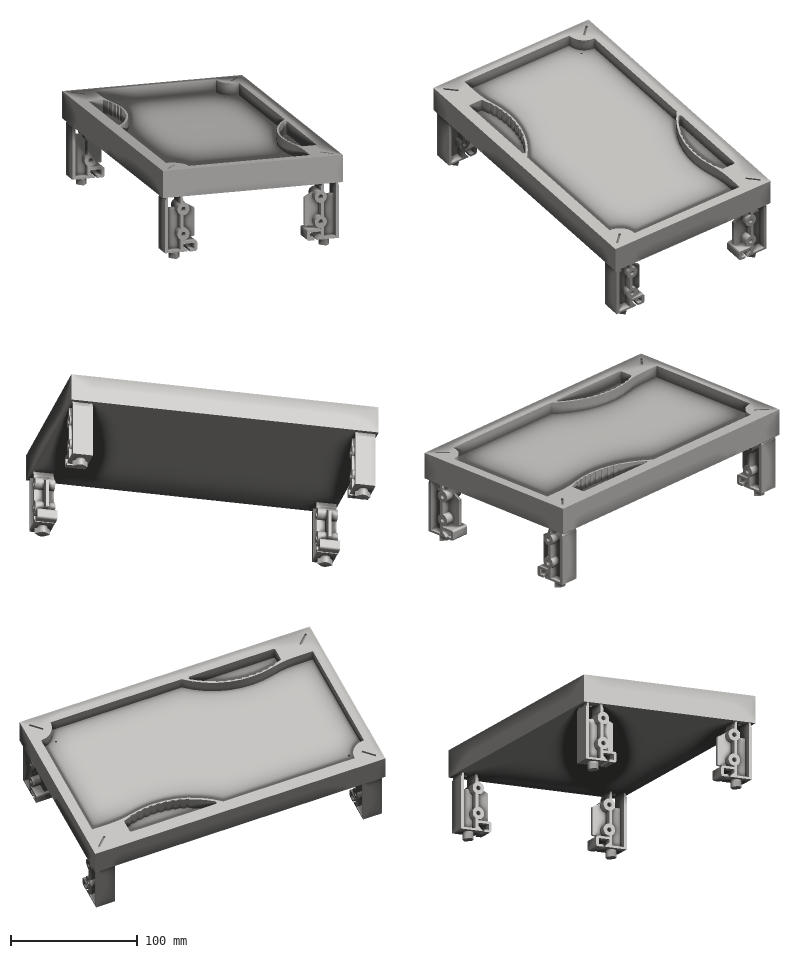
import cadquery as cq
import math

COVER_X = 250.0
COVER_Y = 150.0
COVER_Z = 22.2
TOTAL_HEIGHT = 74.2

POCKET_HALF_X = 117.0
POCKET_HALF_Y = 65.0
POCKET_DEPTH = 10.0
CORNER_CLEARANCE_RADIUS = 14.2

GRIP_CENTER_X = 62.0
GRIP_RADIUS = 77.5
GRIP_LOW_Y = 45.2
STEP_Y = 50.5

GRIP_WALL = 1.8
GRIP_END_X = 90.5
GRIP_DEPTH = 10.8
GRIP_CORNER_RADIUS = 1.5
GROOVE_COUNT = 9
GROOVE_FIRST_ANGLE = -20.4
GROOVE_PITCH_ANGLE = 4.5
GROOVE_DEPTH = 0.62

MARKER_X = 103.2
MARKER_Y = 52.8
MARKER_DIAMETER = 1.8
MARKER_DEPTH = 2.5

CORNER_INSET = 10.0
HEAD_DIAMETER = 14.0
HEAD_HEIGHT = 3.8
SHAFT_DIAMETER = 2.5
TIP_PROTRUSION = 0.8
DRIVE_LENGTH = 12.0
DRIVE_WIDTH = 1.8
DRIVE_DEPTH = 1.8
DRIVE_ANGLE = 45.0

LEG_WIDTH = 16.2
LEG_BOTTOM = -46.0
COLUMN_OUT = 2.5
COLUMN_IN = 17.8
OUTER_WALL = 2.5
INNER_WALL = 2.5
FLOOR = 1.8
NECK_SETBACK = 1.0
NECK_TAPER = 0.5
NECK_HEIGHT = 2.5
NECK_STEP_HEIGHT = 3.2

WEB_THICKNESS = 2.5
WEB_TOP = -11.0
FLANGE_IN = 29.2
FLANGE_SHOULDER = -12.5
FLANGE_BOTTOM = -35.8
FLANGE_CHAMFER = 0.8

BOSS_DIAMETER = 10.0
BOSS_HOLE_DIAMETER = 3.8
BOSS_HEIGHTS = (-11.0, -31.5)

HOOK_TOP = -37.5
HOOK_BOTTOM = -46.2
HOOK_TIP = 23.0
HOOK_WALL = 2.0
HOOK_SIDE_WALL = 2.5
HOOK_RADIUS = 1.8
TOE_IN = 21.2
TOE_RISE = 2.2

FOOT_IN = 12.5
FOOT_DIAMETER = 8.5
FOOT_BOTTOM = COVER_Z - TOTAL_HEIGHT
LUG_TOP = -47.5
LUG_REACH = 6.2

BOTH_SIDES = (-1, 1)
CORNERS = [(sx, sy) for sx in BOTH_SIDES for sy in BOTH_SIDES]
SCREW_X = COVER_X / 2 - CORNER_INSET
SCREW_Y = COVER_Y / 2 - CORNER_INSET
GRIP_CENTER_Y = GRIP_LOW_Y + GRIP_RADIUS


def grip_point(radius, angle):
    """Point on a circle about the grip centre; angle in degrees from -Y towards +X."""
    a = math.radians(angle)
    return (GRIP_CENTER_X + radius * math.sin(a), GRIP_CENTER_Y - radius * math.cos(a))


def grip_angle_at_y(radius, y):
    """Angle in degrees at which a circle about the grip centre reaches the given Y."""
    return math.degrees(math.acos((GRIP_CENTER_Y - y) / radius))


def same_place(point):
    return point


def half_turn(point):
    return (-point[0], -point[1])


def pocket():
    """Pocket volume; its outline repeats after half a turn."""
    bend_angle = grip_angle_at_y(GRIP_RADIUS, (GRIP_LOW_Y + STEP_Y) / 2)
    start_angle = -grip_angle_at_y(GRIP_RADIUS, POCKET_HALF_Y)
    bend = grip_point(GRIP_RADIUS, bend_angle)
    low = grip_point(GRIP_RADIUS, 0)
    bend_middle = grip_point(GRIP_RADIUS, bend_angle / 2)
    return_end = (2 * bend[0] - low[0], STEP_Y)
    return_middle = (2 * bend[0] - bend_middle[0], 2 * bend[1] - bend_middle[1])

    r = CORNER_CLEARANCE_RADIUS
    clear_middle = (-POCKET_HALF_X + r * math.sqrt(0.5), POCKET_HALF_Y - r * math.sqrt(0.5))
    clear_end = (-POCKET_HALF_X + r, POCKET_HALF_Y)
    clear_start = (-POCKET_HALF_X, POCKET_HALF_Y - r)

    outline = cq.Workplane("XY", origin=(0, 0, COVER_Z - POCKET_DEPTH)).moveTo(*clear_start)
    for turn in (same_place, half_turn):
        outline = (
            outline.threePointArc(turn(clear_middle), turn(clear_end))
            .lineTo(*turn(grip_point(GRIP_RADIUS, start_angle)))
            .threePointArc(turn(low), turn(bend))
            .threePointArc(turn(return_middle), turn(return_end))
            .lineTo(*turn((POCKET_HALF_X, STEP_Y)))
            .lineTo(*turn(half_turn(clear_start)))
        )
    return outline.close().extrude(POCKET_DEPTH)


def grip_slot():
    """Finger slot on the +Y side, with square grooves in its curved wall."""
    radius = GRIP_RADIUS - GRIP_WALL
    floor_z = COVER_Z - GRIP_DEPTH
    tip = grip_point(radius, -grip_angle_at_y(radius, POCKET_HALF_Y))
    end_angle = math.degrees(math.asin((GRIP_END_X - GRIP_CENTER_X) / radius))
    slot = (
        cq.Workplane("XY", origin=(0, 0, floor_z))
        .moveTo(*tip)
        .threePointArc(grip_point(radius, 0), grip_point(radius, end_angle))
        .lineTo(GRIP_END_X, POCKET_HALF_Y)
        .close()
        .extrude(GRIP_DEPTH)
    )
    slot = slot.edges("|Z").edges(">Y").fillet(GRIP_CORNER_RADIUS)

    groove_width = radius * math.radians(GROOVE_PITCH_ANGLE) / 2
    for i in range(GROOVE_COUNT):
        angle = GROOVE_FIRST_ANGLE + i * GROOVE_PITCH_ANGLE
        groove = (
            cq.Workplane("XY")
            .box(groove_width, 2 * GROOVE_DEPTH, GRIP_DEPTH, centered=(True, True, False))
            .rotate((0, 0, 0), (0, 0, 1), angle)
            .translate((*grip_point(radius, angle), floor_z))
        )
        slot = slot.union(groove)
    return slot


def make_cover():
    """Plate with the pocket, two finger grips, marker holes and four screw holes."""
    cover = cq.Workplane("XY").box(COVER_X, COVER_Y, COVER_Z, centered=(True, True, False))
    cover = cover.cut(pocket())
    slot = grip_slot()
    cover = cover.cut(slot).cut(slot.rotate((0, 0, 0), (0, 0, 1), 180))

    markers = [(-MARKER_X, MARKER_Y), (MARKER_X, -MARKER_Y)]
    marker_holes = (
        cq.Workplane("XY", origin=(0, 0, COVER_Z - POCKET_DEPTH - MARKER_DEPTH))
        .pushPoints(markers)
        .circle(MARKER_DIAMETER / 2)
        .extrude(MARKER_DEPTH)
    )
    cover = cover.cut(marker_holes)

    for sx, sy in CORNERS:
        cover = cover.cut(screw_blank().translate((sx * SCREW_X, sy * SCREW_Y, 0)))
    return cover


def screw_blank():
    """Screw without its drive slot, on the Z axis; also the shape of its hole in the cover."""
    shaft = (
        cq.Workplane("XY", origin=(0, 0, -TIP_PROTRUSION))
        .circle(SHAFT_DIAMETER / 2)
        .extrude(TIP_PROTRUSION + COVER_Z)
    )
    head = (
        cq.Workplane("XY", origin=(0, 0, COVER_Z - HEAD_HEIGHT))
        .circle(HEAD_DIAMETER / 2)
        .extrude(HEAD_HEIGHT)
    )
    return shaft.union(head)


def make_screw(sx, sy):
    """Screw whose drive slot lies along the diagonal through its corner."""
    drive = (
        cq.Workplane("XY", origin=(0, 0, COVER_Z - DRIVE_DEPTH))
        .rect(DRIVE_LENGTH, DRIVE_WIDTH)
        .extrude(DRIVE_DEPTH)
        .rotate((0, 0, 0), (0, 0, 1), DRIVE_ANGLE * sx * sy)
    )
    return screw_blank().cut(drive).translate((sx * SCREW_X, sy * SCREW_Y, 0))


def profile_plane(width):
    """Sketch plane with local x = distance in and local y = Z, for extruding a centred width."""
    return cq.Workplane("YZ", origin=(-width / 2, 0, 0))


def leg_column():
    """Tall frame of the leg: two walls and a floor, with a set-back neck at the top."""
    neck_low = NECK_SETBACK - NECK_TAPER
    outside = (
        profile_plane(LEG_WIDTH)
        .polyline([
            (COLUMN_OUT + NECK_SETBACK, 0),
            (COLUMN_OUT + neck_low, -NECK_HEIGHT),
            (COLUMN_OUT, -NECK_STEP_HEIGHT),
            (COLUMN_OUT, LEG_BOTTOM),
            (TOE_IN, LEG_BOTTOM),
            (TOE_IN, LEG_BOTTOM + FLOOR / 2),
            (COLUMN_IN, LEG_BOTTOM + FLOOR + TOE_RISE),
            (COLUMN_IN, -NECK_STEP_HEIGHT),
            (COLUMN_IN - neck_low, -NECK_HEIGHT),
            (COLUMN_IN - NECK_SETBACK, 0),
        ])
        .close()
        .extrude(LEG_WIDTH)
    )
    window_out = COLUMN_OUT + OUTER_WALL
    window_in = COLUMN_IN - INNER_WALL
    window = (
        profile_plane(LEG_WIDTH)
        .polyline([
            (window_out, 0),
            (window_out, LEG_BOTTOM + FLOOR),
            (window_in, LEG_BOTTOM + FLOOR),
            (window_in, 0),
        ])
        .close()
        .extrude(LEG_WIDTH)
    )
    return outside.cut(window)


def leg_web():
    """Thin plate in the middle of the leg: fills the frame and forms the side flange."""
    boss_top = BOSS_HEIGHTS[0] + BOSS_DIAMETER / 2
    middle_of_inner_wall = COLUMN_IN - INNER_WALL / 2
    return (
        profile_plane(WEB_THICKNESS)
        .polyline([
            (COLUMN_OUT + OUTER_WALL / 2, WEB_TOP),
            (middle_of_inner_wall, WEB_TOP),
            (COLUMN_IN, boss_top),
            (FLANGE_IN, FLANGE_SHOULDER),
            (FLANGE_IN, FLANGE_BOTTOM + FLANGE_CHAMFER),
            (FLANGE_IN - FLANGE_CHAMFER, FLANGE_BOTTOM),
            (middle_of_inner_wall, FLANGE_BOTTOM),
            (middle_of_inner_wall, LEG_BOTTOM + FLOOR / 2),
            (COLUMN_OUT + OUTER_WALL / 2, LEG_BOTTOM + FLOOR / 2),
        ])
        .close()
        .extrude(WEB_THICKNESS)
    )


def leg_hook():
    """J-shaped cable hook on the inner wall, open underneath beside the toe."""
    root = COLUMN_IN - INNER_WALL / 2
    outside = (
        profile_plane(LEG_WIDTH)
        .polyline([(root, HOOK_TOP), (FLANGE_IN, HOOK_TOP), (FLANGE_IN, HOOK_BOTTOM), (root, HOOK_BOTTOM)])
        .close()
        .extrude(LEG_WIDTH)
        .edges("|X and >Y")
        .fillet(HOOK_RADIUS)
    )
    inner_face = FLANGE_IN - HOOK_SIDE_WALL
    inside = (
        profile_plane(LEG_WIDTH)
        .polyline([
            (root, HOOK_TOP - HOOK_WALL),
            (inner_face, HOOK_TOP - HOOK_WALL),
            (inner_face, HOOK_BOTTOM + HOOK_WALL),
            (HOOK_TIP, HOOK_BOTTOM + HOOK_WALL),
            (HOOK_TIP, HOOK_BOTTOM),
            (root, HOOK_BOTTOM),
        ])
        .close()
        .extrude(LEG_WIDTH)
    )
    return outside.cut(inside)


def boss_rods(diameter):
    """Cylinders across the leg at the two boss axes, which lie on the inner wall."""
    centers = [(COLUMN_IN, z) for z in BOSS_HEIGHTS]
    return profile_plane(LEG_WIDTH).pushPoints(centers).circle(diameter / 2).extrude(LEG_WIDTH)


def leg_foot():
    """Round foot with two pointed bayonet lugs whose flanks run tangent to it."""
    radius = FOOT_DIAMETER / 2
    post = (
        cq.Workplane("XY", origin=(0, FOOT_IN, FOOT_BOTTOM))
        .circle(radius)
        .extrude(LEG_BOTTOM - FOOT_BOTTOM)
    )
    tangent_x = radius ** 2 / LUG_REACH
    tangent_y = math.sqrt(radius ** 2 - tangent_x ** 2)
    lugs = (
        cq.Workplane("XY", origin=(0, FOOT_IN, FOOT_BOTTOM))
        .polyline([
            (LUG_REACH, 0),
            (tangent_x, tangent_y),
            (-tangent_x, tangent_y),
            (-LUG_REACH, 0),
            (-tangent_x, -tangent_y),
            (tangent_x, -tangent_y),
        ])
        .close()
        .extrude(LUG_TOP - FOOT_BOTTOM)
    )
    return post.union(lugs)


def make_leg(sx, sy):
    """One complete leg; legs on the +Y side are mirror images of those on the -Y side."""
    leg = leg_column().union(leg_web()).union(leg_hook())
    leg = leg.union(boss_rods(BOSS_DIAMETER)).cut(boss_rods(BOSS_HOLE_DIAMETER))
    leg = leg.union(leg_foot()).translate((sx * SCREW_X, -COVER_Y / 2, 0))
    if sy > 0:
        leg = leg.mirror("XZ")
    return leg


cover = make_cover()
screws = [make_screw(sx, sy) for sx, sy in CORNERS]
legs = [make_leg(sx, sy) for sx, sy in CORNERS]

result = cq.Compound.makeCompound([
    cover.val(),
    *[screw.val() for screw in screws],
    *[leg.val() for leg in legs],
])